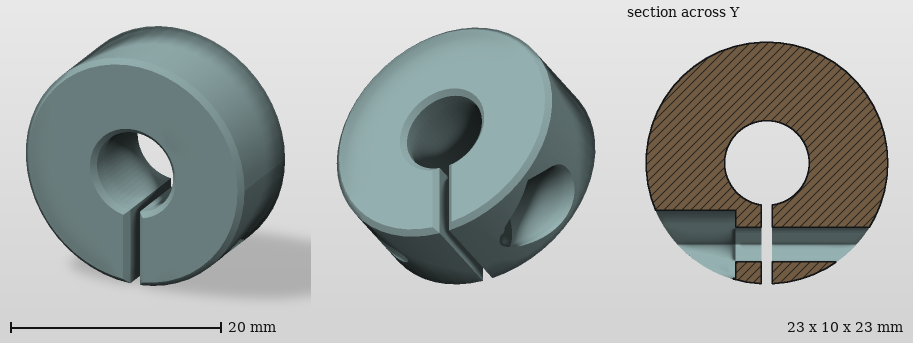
import cadquery as cq
import math

outer_diameter = 23.0
width = 10.0
bore_diameter = 8.0
slot_width = 1.01
edge_chamfer = 0.5

screw_y = -0.5
screw_z = -7.72
screw_hole_radius = 1.7
head_radius = 3.25
head_seat_x = -3.0
teardrop_half_angle = math.radians(50)


def make_slotted_ring():
    """Ring split at the bottom, with every edge of both end faces chamfered."""
    ring = (
        cq.Workplane("XZ", origin=(0, width / 2, 0))
        .circle(outer_diameter / 2)
        .circle(bore_diameter / 2)
        .extrude(width)
    )
    slot = cq.Workplane("XY").box(
        slot_width, width, outer_diameter / 2, centered=(True, True, False)
    ).translate((0, 0, -outer_diameter / 2))
    return ring.cut(slot).faces("<Y or >Y").edges().chamfer(edge_chamfer)


def make_teardrop(radius, start_x, end_x):
    """Teardrop prism along X, its point towards +Y and its flanks tangent to the circle."""
    tip_y = radius / math.sin(teardrop_half_angle)
    tangent_y = radius * math.sin(teardrop_half_angle)
    tangent_z = radius * math.cos(teardrop_half_angle)
    return (
        cq.Workplane("YZ", origin=(start_x, screw_y, screw_z))
        .moveTo(tip_y, 0)
        .lineTo(tangent_y, tangent_z)
        .threePointArc((-radius, 0), (tangent_y, -tangent_z))
        .close()
        .extrude(end_x - start_x)
    )


screw_hole = make_teardrop(screw_hole_radius, -outer_diameter / 2, outer_diameter / 2)
head_recess = make_teardrop(head_radius, -outer_diameter / 2, head_seat_x)

result = make_slotted_ring().cut(screw_hole).cut(head_recess)